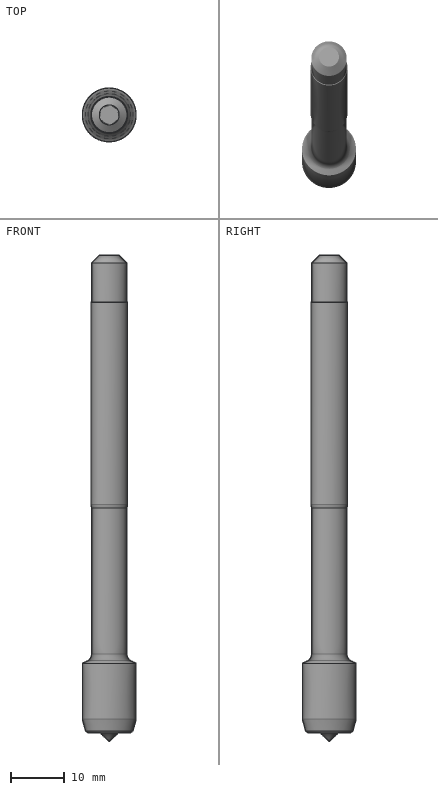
import cadquery as cq

TOTAL_HEIGHT = 91.65
TAIL_BOTTOM = 82.85
BARREL_TOP = 82.8
MOUTH_TOP = 44.6
MOUTH_BOTTOM = 44.0
NECK_TOP = 16.5
NECK_BOTTOM = 15.3
HEAD_TOP = 14.8
HEAD_TAPER_TOP = 4.2
HEAD_TAPER_BOTTOM = 2.0
HEAD_BOTTOM = 1.65

BARREL_RADIUS = 7.0 / 2
STEM_RADIUS = 6.7 / 2
HEAD_RADIUS = 10.2 / 2
NECK_BASE_RADIUS = 3.9
HEAD_TAPER_END_RADIUS = 4.5
HEAD_BOTTOM_RADIUS = 4.0
TIP_RADIUS = 1.7

TAIL_CHAMFER = 1.5


def revolve_about_z(profile):
    """Turn a closed half profile, drawn in the XZ plane, about the Z axis."""
    return profile.revolve(360, (0, 0, 0), (0, 1, 0))


def make_plunger():
    """Slim stem flaring into a wider head with a tapered lower rim and a central point."""
    profile = (
        cq.Workplane("XZ")
        .moveTo(0, MOUTH_BOTTOM)
        .lineTo(STEM_RADIUS, MOUTH_BOTTOM)
        .lineTo(STEM_RADIUS, NECK_TOP)
        .tangentArcPoint((NECK_BASE_RADIUS, NECK_BOTTOM), relative=False)
        .lineTo(HEAD_RADIUS, HEAD_TOP)
        .lineTo(HEAD_RADIUS, HEAD_TAPER_TOP)
        .lineTo(HEAD_TAPER_END_RADIUS, HEAD_TAPER_BOTTOM)
        .lineTo(HEAD_BOTTOM_RADIUS, HEAD_BOTTOM)
        .lineTo(TIP_RADIUS, HEAD_BOTTOM)
        .lineTo(0, 0)
        .close()
    )
    return revolve_about_z(profile)


def make_barrel():
    """Rod above the plunger, with a tapered mouth, a chamfered shoulder and a slimmer chamfered tail."""
    profile = (
        cq.Workplane("XZ")
        .moveTo(0, MOUTH_BOTTOM)
        .lineTo(STEM_RADIUS, MOUTH_BOTTOM)
        .lineTo(BARREL_RADIUS, MOUTH_TOP)
        .lineTo(BARREL_RADIUS, BARREL_TOP)
        .lineTo(STEM_RADIUS, TAIL_BOTTOM)
        .lineTo(STEM_RADIUS, TOTAL_HEIGHT - TAIL_CHAMFER)
        .lineTo(STEM_RADIUS - TAIL_CHAMFER, TOTAL_HEIGHT)
        .lineTo(0, TOTAL_HEIGHT)
        .close()
    )
    return revolve_about_z(profile)


plunger = make_plunger()
barrel = make_barrel()
result = cq.Compound.makeCompound([plunger.val(), barrel.val()])